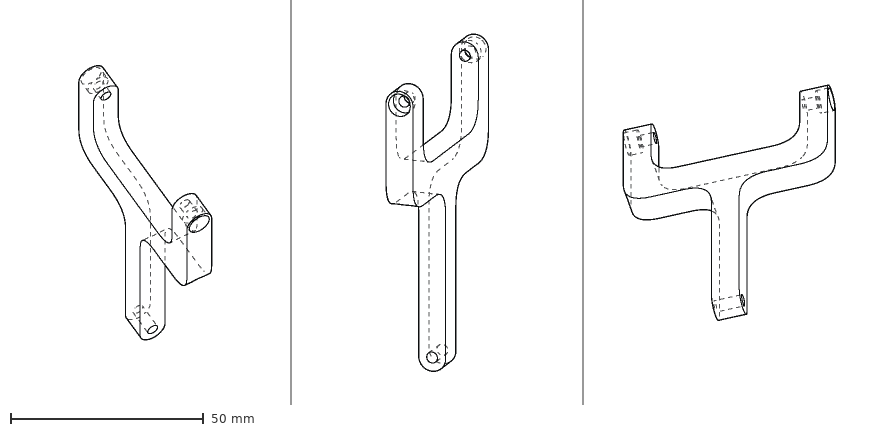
import cadquery as cq

height = 82.5
width = 55.0
thickness = 7.5
fork_depth = 22.5
crossbar_height = 10.0
bend_length = 7.5
pin_diameter = 3.0
recess_diameter = 6.0
recess_depth = 3.5

end_radius = thickness / 2
half_width = width / 2
half_stem = thickness / 2
arm_inner_x = half_width - thickness
crossbar_top = height - fork_depth
crossbar_bottom = crossbar_top - crossbar_height
top_pin_z = height - end_radius
bottom_pin_z = end_radius


def fork_plate():
    """Y-shaped plate whose six bends are parabolic arcs, built as two mirrored halves."""
    half = (
        cq.Workplane("XZ", origin=(0, thickness / 2, 0))
        .lineTo(half_stem, 0)
        .lineTo(half_stem, crossbar_bottom - bend_length)
        .bezier(
            [(half_stem, crossbar_bottom), (half_stem + bend_length, crossbar_bottom)],
            includeCurrent=True,
        )
        .lineTo(half_width - bend_length, crossbar_bottom)
        .bezier(
            [(half_width, crossbar_bottom), (half_width, crossbar_bottom + bend_length)],
            includeCurrent=True,
        )
        .lineTo(half_width, height)
        .lineTo(arm_inner_x, height)
        .lineTo(arm_inner_x, crossbar_top + bend_length)
        .bezier(
            [(arm_inner_x, crossbar_top), (arm_inner_x - bend_length, crossbar_top)],
            includeCurrent=True,
        )
        .lineTo(0, crossbar_top)
        .close()
        .extrude(thickness)
    )
    return half.union(half.mirror("YZ")).clean()


def rounded_profile():
    """Bar along X whose section is a slot, used to round the arm and stem ends."""
    return (
        cq.Workplane("YZ")
        .center(0, height / 2)
        .slot2D(height, thickness, 90)
        .extrude(half_width, both=True)
    )


def pin_hole(z):
    """Cutter along X through the whole width."""
    return (
        cq.Workplane("YZ")
        .center(0, z)
        .circle(pin_diameter / 2)
        .extrude(half_width, both=True)
    )


def head_recess(side):
    """Cutter for the round recess in the outer face of one arm."""
    return (
        cq.Workplane("YZ", origin=(side * half_width, 0, top_pin_z))
        .circle(recess_diameter / 2)
        .extrude(-side * recess_depth)
    )


result = fork_plate().intersect(rounded_profile())
for pin_z in (top_pin_z, bottom_pin_z):
    result = result.cut(pin_hole(pin_z))
for side in (-1, 1):
    result = result.cut(head_recess(side))